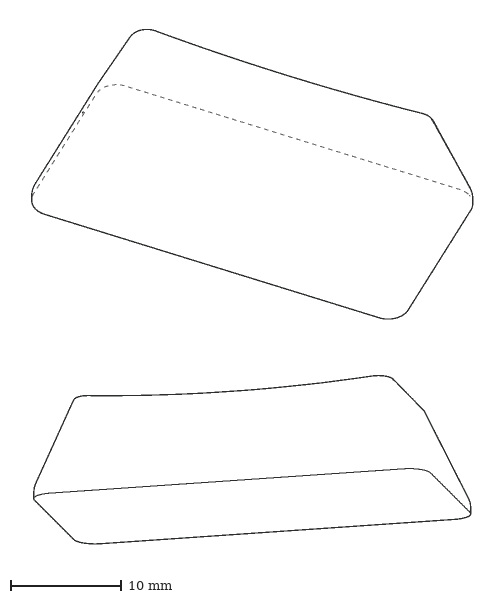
import cadquery as cq
import math

length = 37.2
width = 18.15
break_height = 1.0

end_lean = 23.7
front_lean = 22.3
back_lean = 5.0

bend_reach = 0.35
bend_start = break_height - bend_reach
bend_end = break_height + bend_reach
bend_sections = 5

dish_radius = 163.72
dish_bottom = 8.6
dish_tilt = 0.8

base_corner_radius = 2.0
top_corner_radius = 1.82
rim_radius = 0.45

blank_height = 11.15


def inset(lean, height):
    """Distance a wall has moved in from the footprint, with a parabolic bend above the skirt."""
    slope = math.tan(math.radians(lean))
    if height <= bend_start:
        return 0
    if height < bend_end:
        return slope * (height - bend_start) ** 2 / (4 * bend_reach)
    return slope * (height - break_height)


def corner_radius(height):
    """Radius of the upright corners, shrinking evenly above the start of the bend."""
    rise = max(0, height - bend_start) / (blank_height - bend_start)
    return base_corner_radius + rise * (top_corner_radius - base_corner_radius)


def outline(height):
    """Rounded rectangle that the walls follow at the given height."""
    front_y = -width / 2 + inset(front_lean, height)
    back_y = width / 2 - inset(back_lean, height)
    return (
        cq.Sketch()
        .push([(0, (front_y + back_y) / 2)])
        .rect(length - 2 * inset(end_lean, height), back_y - front_y)
        .reset()
        .vertices()
        .fillet(corner_radius(height))
        .moved(cq.Location(cq.Vector(0, 0, height)))
    )


def lofted(heights, ruled):
    """Solid through the wall outlines at the given heights."""
    outlines = [outline(height) for height in heights]
    return cq.Workplane().placeSketch(*outlines).loft(ruled=ruled)


def tapered_blank():
    """Upright skirt, smooth bend and leaning walls, before the top is shaped."""
    step = (bend_end - bend_start) / (bend_sections - 1)
    bend_heights = [bend_start + i * step for i in range(bend_sections)]
    skirt = lofted([0, bend_start], True)
    bend = lofted(bend_heights, False)
    walls = lofted([bend_end, blank_height], True)
    return skirt.union(bend).union(walls)


def dish_cutter():
    """Cylinder that hollows the top across the width of the part."""
    return (
        cq.Workplane("XZ")
        .center(0, dish_bottom + dish_radius)
        .circle(dish_radius)
        .extrude(width, both=True)
        .rotate((0, 0, dish_bottom), (1, 0, dish_bottom), dish_tilt)
    )


body = tapered_blank().cut(dish_cutter())
result = body.faces(">Z").edges().fillet(rim_radius)